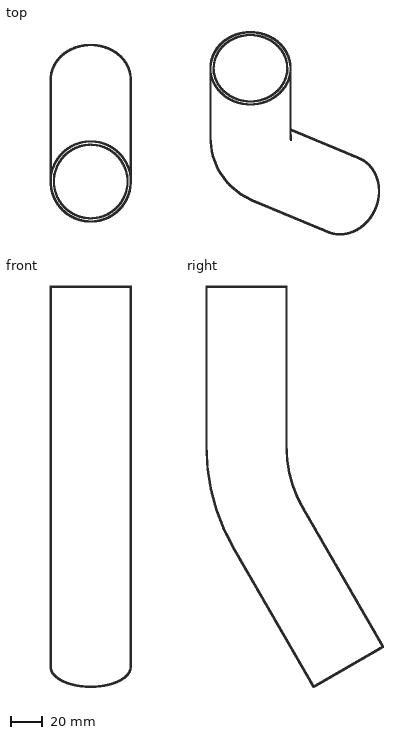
import cadquery as cq
import math

outer_diameter = 50.8
wall_thickness = 2.11
bend_angle = 30.0
bend_radius = 2 * outer_diameter
leg_length = 2 * outer_diameter

inner_diameter = outer_diameter - 2 * wall_thickness


def bend_point(angle):
    """Centreline point (Y, Z) of the bend, at an angle in degrees below its upper end."""
    turn = math.radians(angle)
    return (bend_radius * (1 - math.cos(turn)), -bend_radius * math.sin(turn))


def tube_centreline():
    """Vertical leg, bend towards +Y, then the sloping lower leg; the bend starts at the origin."""
    bend_end = bend_point(bend_angle)
    slope = math.radians(bend_angle)
    lower_end = (
        bend_end[0] + leg_length * math.sin(slope),
        bend_end[1] - leg_length * math.cos(slope),
    )
    return (
        cq.Workplane("YZ")
        .moveTo(0, leg_length)
        .lineTo(0, 0)
        .threePointArc(bend_point(bend_angle / 2), bend_end)
        .lineTo(*lower_end)
    )


def bent_tube():
    """Ring section at the top opening, swept along the centreline."""
    return (
        cq.Workplane("XY")
        .workplane(offset=leg_length)
        .circle(outer_diameter / 2)
        .circle(inner_diameter / 2)
        .sweep(tube_centreline())
    )


result = bent_tube()